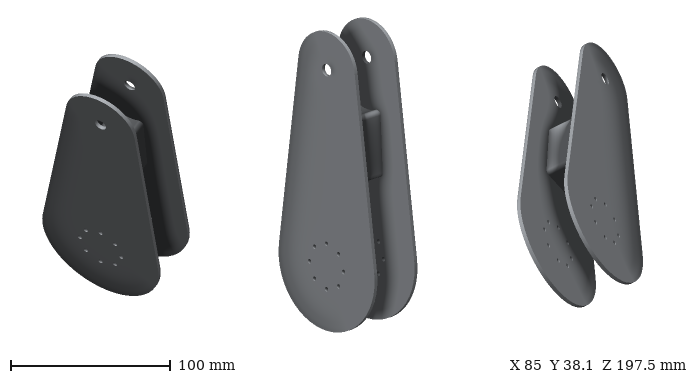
import cadquery as cq
import math

total_length = 197.5
total_depth = 38.1
plate_thickness = 2.5
plate_gap = total_depth - 2 * plate_thickness

wide_radius = 42.5
narrow_radius = 25.0
end_spacing = total_length - wide_radius - narrow_radius

pivot_hole_diameter = 8.0
bolt_hole_diameter = 3.0
bolt_circle_radius = 15.0
bolt_count = 8

spacer_bottom_z = 53.7
spacer_corner_z = 99.5
spacer_dip_z = 95.7
spacer_bottom_left_x = -14.5
spacer_bottom_right_x = 13.2
spacer_top_left_x = -12.0
spacer_top_right_x = 9.9
spacer_edge_radius = 3.0


def extrude_along_y(draw_outline, start_y, depth):
    """Extrude an XZ outline from start_y toward +Y."""
    plane = cq.Workplane("XZ", origin=(0, start_y, 0))
    return draw_outline(plane).extrude(-depth)


def plate_outline(plane):
    tangent_angle = math.asin((wide_radius - narrow_radius) / end_spacing)
    across = math.cos(tangent_angle)
    along = math.sin(tangent_angle)
    wide_x = wide_radius * across
    wide_z = wide_radius * along
    narrow_x = narrow_radius * across
    narrow_z = end_spacing + narrow_radius * along
    return (
        plane.moveTo(wide_x, wide_z)
        .lineTo(narrow_x, narrow_z)
        .threePointArc((0, end_spacing + narrow_radius), (-narrow_x, narrow_z))
        .lineTo(-wide_x, wide_z)
        .threePointArc((0, -wide_radius), (wide_x, wide_z))
        .close()
    )


def spacer_outline(plane):
    dip_x = (spacer_top_left_x + spacer_top_right_x) / 2
    return (
        plane.moveTo(spacer_bottom_left_x, spacer_bottom_z)
        .lineTo(spacer_bottom_right_x, spacer_bottom_z)
        .lineTo(spacer_top_right_x, spacer_corner_z)
        .threePointArc((dip_x, spacer_dip_z), (spacer_top_left_x, spacer_corner_z))
        .close()
    )


def pivot_outline(plane):
    return plane.center(0, end_spacing).circle(pivot_hole_diameter / 2)


def bolt_outline(plane):
    return plane.polarArray(bolt_circle_radius, 0, 360, bolt_count).circle(bolt_hole_diameter / 2)


spacer = extrude_along_y(spacer_outline, -plate_gap / 2, plate_gap)
result = spacer.edges("|Y").fillet(spacer_edge_radius)

for plate_start in (-total_depth / 2, plate_gap / 2):
    result = result.union(extrude_along_y(plate_outline, plate_start, plate_thickness))

for hole_outline in (pivot_outline, bolt_outline):
    result = result.cut(extrude_along_y(hole_outline, -total_depth / 2, total_depth))